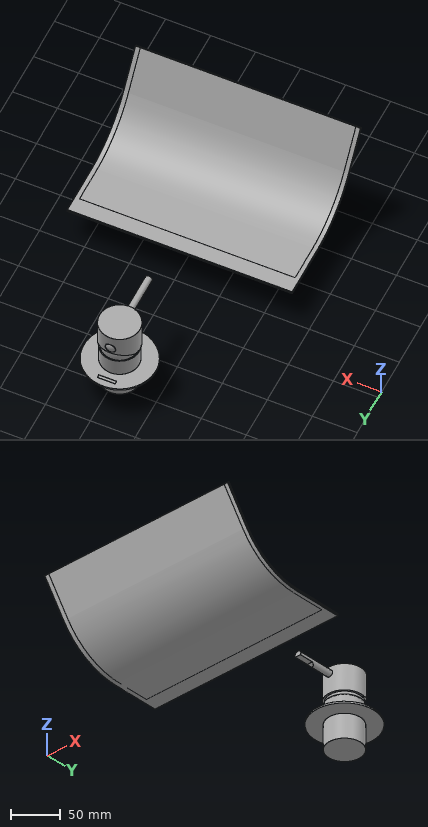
import cadquery as cq
import math


body_diameter = 43.0
body_bottom = -30.0
body_top = 23.5
ball_diameter = 40.7
ball_height = 26.2

flange_diameter = 80.0
flange_thickness = 2.0
badge_length = 20.0
badge_width = 3.5
badge_depth = 0.5
badge_offset = 30.5

cap_diameter = 45.0
cap_bottom = 27.5
cap_top = 60.0
relief_start = 5.3
relief_angle = 25.0

lever_diameter = 8.0
lever_height = 51.5
lever_reach = 69.5
lever_socket_depth = 7.0
grip_length = 17.7
grip_ramp = 4.3
grip_depth = 2.0

dot_diameter = 11.5
dot_height = 43.2
dot_rise = 2.0
dot_socket_depth = 3.5

spout_width = 250.0
spout_centre_x = 3.35
spout_back_y = -149.5
spout_thickness = 3.0
spout_flat_length = 60.0
spout_bend_radius = 90.0
spout_bend_angle = 55.2
spout_lip_length = 50.0
channel_side_wall = 5.3
channel_back_wall = 18.5

cap_radius = cap_diameter / 2
layer_thickness = spout_thickness / 3


def make_body():
    barrel_base = cq.Workplane("XY").workplane(offset=body_bottom)
    barrel = barrel_base.circle(body_diameter / 2).extrude(body_top - body_bottom)
    ball = cq.Workplane("XY").sphere(ball_diameter / 2).translate((0, 0, ball_height))
    return barrel.union(ball)


def make_flange(body):
    disc = cq.Workplane("XY").circle(flange_diameter / 2).extrude(flange_thickness)
    badge = (
        cq.Workplane("XY")
        .workplane(offset=flange_thickness)
        .center(0, badge_offset)
        .rect(badge_length, badge_width)
        .extrude(-badge_depth)
    )
    return disc.cut(badge).cut(body)


def make_lever():
    root_y = -cap_radius + lever_socket_depth
    rod = (
        cq.Workplane("XZ")
        .workplane(offset=-root_y)
        .center(0, lever_height)
        .circle(lever_diameter / 2)
        .extrude(lever_reach + root_y)
    )
    underside = lever_height - lever_diameter / 2
    grip_end = -lever_reach + grip_length
    grip = (
        cq.Workplane("YZ")
        .moveTo(-lever_reach, underside)
        .lineTo(-lever_reach, underside + grip_depth)
        .lineTo(grip_end, underside + grip_depth)
        .lineTo(grip_end + grip_ramp, underside)
        .close()
        .extrude(lever_diameter, both=True)
    )
    return rod.cut(grip)


def make_dot():
    crown_y = cap_radius + dot_rise
    dome_radius = ((dot_diameter / 2) ** 2 + dot_rise**2) / (2 * dot_rise)
    plug = (
        cq.Workplane("XZ")
        .workplane(offset=-crown_y)
        .center(0, dot_height)
        .circle(dot_diameter / 2)
        .extrude(dot_rise + dot_socket_depth)
    )
    dome = cq.Workplane("XY").sphere(dome_radius).translate((0, crown_y - dome_radius, dot_height))
    return plug.intersect(dome)


def make_cap(body, lever, dot):
    cylinder_base = cq.Workplane("XY").workplane(offset=cap_bottom)
    cylinder = cylinder_base.circle(cap_radius).extrude(cap_top - cap_bottom)
    relief_rise = (cap_diameter - relief_start) * math.tan(math.radians(relief_angle))
    relief = (
        cq.Workplane("YZ")
        .moveTo(relief_start, cap_bottom)
        .lineTo(cap_diameter, cap_bottom)
        .lineTo(cap_diameter, cap_bottom + relief_rise)
        .close()
        .extrude(cap_diameter, both=True)
    )
    return cylinder.cut(relief).cut(body).cut(lever).cut(dot)


def bend_point(radius, angle):
    """Point (y, z) on the spout bend, at an angle in degrees from the end of the flat."""
    centre_y = spout_back_y - spout_flat_length
    centre_z = spout_thickness + spout_bend_radius
    turn = math.radians(angle)
    return centre_y - radius * math.sin(turn), centre_z - radius * math.cos(turn)


def lip_end(radius):
    """Point (y, z) at the end of the straight lip that leaves the bend."""
    y, z = bend_point(radius, spout_bend_angle)
    slope = math.radians(spout_bend_angle)
    return y - spout_lip_length * math.cos(slope), z + spout_lip_length * math.sin(slope)


def spout_layer(depth, back_y, width):
    """One layer of the spout, its upper face at a depth below the top of the spout."""
    upper = spout_bend_radius + depth
    lower = upper + layer_thickness
    flat_upper_z = spout_thickness - depth
    return (
        cq.Workplane("YZ")
        .workplane(offset=spout_centre_x)
        .moveTo(back_y, flat_upper_z)
        .lineTo(*bend_point(upper, 0))
        .threePointArc(bend_point(upper, spout_bend_angle / 2), bend_point(upper, spout_bend_angle))
        .lineTo(*lip_end(upper))
        .lineTo(*lip_end(lower))
        .lineTo(*bend_point(lower, spout_bend_angle))
        .threePointArc(bend_point(lower, spout_bend_angle / 2), bend_point(lower, 0))
        .lineTo(back_y, flat_upper_z - layer_thickness)
        .close()
        .extrude(width / 2, both=True)
    )


def make_spout_plate(depth):
    return spout_layer(depth, spout_back_y, spout_width)


def make_spout_spacer():
    full_layer = spout_layer(layer_thickness, spout_back_y, spout_width)
    channel = spout_layer(
        layer_thickness, spout_back_y - channel_back_wall, spout_width - 2 * channel_side_wall
    )
    return full_layer.cut(channel)


body = make_body()
flange = make_flange(body)
lever = make_lever()
dot = make_dot()
cap = make_cap(body, lever, dot)
spout_spacer = make_spout_spacer()
spout_plates = [make_spout_plate(depth) for depth in (0, 2 * layer_thickness)]

result = cq.Compound.makeCompound(
    [
        body.val(),
        flange.val(),
        cap.val(),
        lever.val(),
        dot.val(),
        spout_spacer.val(),
        *[plate.val() for plate in spout_plates],
    ]
)